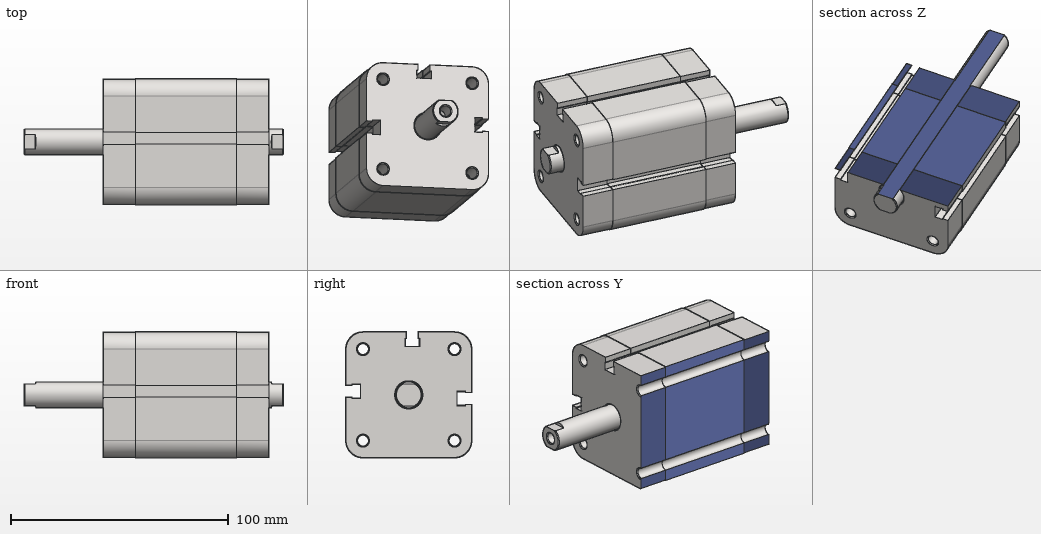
import cadquery as cq
import math

total_length = 119.0
front_stickout = 36.3
rear_stickout = 6.7
cap_length = 14.8

rod_start = -total_length / 2
rod_end = total_length / 2
front_face = rod_start + front_stickout
rear_face = rod_end - rear_stickout
tube_start = front_face + cap_length
tube_length = rear_face - front_face - 2 * cap_length
tube_end = tube_start + tube_length

tube_side = 58.0
cap_side = 57.5
corner_flat_half = 21.0
corner_hole_spacing = 42.0
corner_hole_diameter = 5.0
corner_hole_chamfer = 0.5

slot_angles = (0, 90, 270)
slot_offset = 1.7
slot_floor = 22.3
slot_lip = 26.0
tube_slot_opening = 5.4
tube_slot_inner = 6.2
cap_slot_opening = 5.7
cap_slot_inner = 6.8

rod_diameter = 12.0
rod_bore_chamfer = 0.5
rod_end_chamfer_length = 0.5
rod_end_chamfer_step = 0.4
flat_width = 10.0
front_flat_length = 5.1
rear_flat_length = 5.2
flat_wall_run = 0.4
rod_hole_diameter = 5.0
rod_hole_depth = 11.9
rod_hole_chamfer = 0.5
drill_point_angle = 118.0


def x_cylinder(start, length, diameter):
    return cq.Workplane("YZ", origin=(start, 0, 0)).circle(diameter / 2).extrude(length)


def slots(start, length, side, opening, inner):
    """T-slot cutters along X, one for each slotted side."""
    slot_base = cq.Workplane("XY", origin=(start + length / 2, slot_offset, slot_floor))
    centering = (True, True, False)
    neck = slot_base.box(length, opening, side - slot_floor, centered=centering)
    head = slot_base.box(length, inner, slot_lip - slot_floor, centered=centering)
    cutter = neck.union(head)
    cutters = cq.Workplane("XY")
    for angle in slot_angles:
        cutters = cutters.add(cutter.rotate((0, 0, 0), (1, 0, 0), angle))
    return cutters.combine()


def slotted_block(start, length, side, opening, inner):
    """Rounded square block with slots, corner holes and a bore for the rod."""
    block = (
        cq.Workplane("YZ", origin=(start, 0, 0))
        .rect(side, side)
        .extrude(length)
        .edges("|X")
        .fillet(side / 2 - corner_flat_half)
    )
    corner_holes = (
        cq.Workplane("YZ", origin=(start, 0, 0))
        .rect(corner_hole_spacing, corner_hole_spacing, forConstruction=True)
        .vertices()
        .circle(corner_hole_diameter / 2)
        .extrude(length)
    )
    return (
        block.cut(slots(start, length, side, opening, inner))
        .cut(corner_holes)
        .cut(x_cylinder(start, length, rod_diameter))
    )


def countersink(face_x, y, z, diameter, chamfer, inward):
    """Cone that chamfers a hole mouth; inward is +1 or -1 along X."""
    radius = diameter / 2
    mouth = cq.Vector(face_x, y, z)
    direction = cq.Vector(inward, 0, 0)
    return cq.Workplane(cq.Solid.makeCone(radius + chamfer, radius, chamfer, mouth, direction))


def make_tube():
    return slotted_block(tube_start, tube_length, tube_side, tube_slot_opening, tube_slot_inner)


def make_cap(start, outer_face, inward):
    """End cap with its hole mouths chamfered on the outer face."""
    cap = slotted_block(start, cap_length, cap_side, cap_slot_opening, cap_slot_inner)
    half_spacing = corner_hole_spacing / 2
    for y in (-half_spacing, half_spacing):
        for z in (-half_spacing, half_spacing):
            cap = cap.cut(countersink(outer_face, y, z, corner_hole_diameter, corner_hole_chamfer, inward))
    return cap.cut(countersink(outer_face, 0, 0, rod_diameter, rod_bore_chamfer, inward))


def wrench_flats(end_x, length, inward):
    """Cutters for two parallel flats whose end walls lean away from the rod end."""
    flat_z = flat_width / 2
    flat_depth = rod_diameter / 2 - flat_z
    upper = (
        cq.Workplane("XZ", origin=(end_x, 0, 0))
        .moveTo(0, flat_z)
        .lineTo(inward * length, flat_z)
        .lineTo(inward * (length + flat_wall_run), flat_z + flat_depth)
        .lineTo(0, flat_z + flat_depth)
        .close()
        .extrude(rod_diameter / 2, both=True)
    )
    return upper.union(upper.mirror("XY"))


def rod_hole():
    """Blind drilled hole with a chamfered mouth and a conical bottom."""
    radius = rod_hole_diameter / 2
    point_depth = radius / math.tan(math.radians(drill_point_angle / 2))
    point = cq.Solid.makeCone(
        radius, 0, point_depth, cq.Vector(rod_start + rod_hole_depth, 0, 0), cq.Vector(1, 0, 0)
    )
    return (
        x_cylinder(rod_start, rod_hole_depth, rod_hole_diameter)
        .union(cq.Workplane(point))
        .union(countersink(rod_start, 0, 0, rod_hole_diameter, rod_hole_chamfer, 1))
    )


def make_rod():
    return (
        x_cylinder(rod_start, total_length, rod_diameter)
        .faces("<X or >X")
        .chamfer(rod_end_chamfer_length, rod_end_chamfer_step)
        .cut(wrench_flats(rod_start, front_flat_length, 1))
        .cut(wrench_flats(rod_end, rear_flat_length, -1))
        .cut(rod_hole())
    )


tube = make_tube()
front_cap = make_cap(front_face, front_face, 1)
rear_cap = make_cap(tube_end, rear_face, -1)
rod = make_rod()

result = cq.Compound.makeCompound([tube.val(), front_cap.val(), rear_cap.val(), rod.val()])